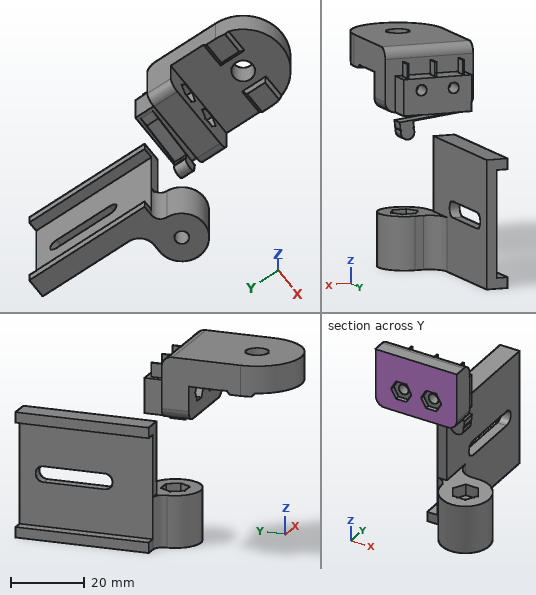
import cadquery as cq
import math


total_length = 82.0
total_height = 60.0
total_width = 29.6

bracket_width = 26.0
bracket_end_radius = bracket_width / 2
slab_thickness = 7.9
slab_bottom_z = total_height - slab_thickness
leg_thickness = 7.95
leg_height = 18.0
leg_bottom_z = total_height - leg_height
leg_back_y = 23.05
leg_front_y = leg_back_y - leg_thickness
bracket_edge_radius = 3.0
bracket_hole_diameter = 6.5

ridge_height = 1.0
ridge_top_half_width = 4.0
ridge_gap_half_width = 5.0

screw_spacing = 9.5
screw_rise = 6.9
screw_z = leg_bottom_z + screw_rise
screw_hole_diameter = 3.0
screw_nut_flats = 5.5
screw_nut_depth = 2.5

switch_width = 20.0
switch_depth = 6.15
switch_height = 10.2
switch_center_y = leg_back_y + switch_depth / 2
terminal_count = 3
terminal_spacing = 8.2
terminal_thickness = 0.5
terminal_depth = 3.4
terminal_height = 4.0
blade_width = 4.0

lever_angle = 6.2
lever_start_x = -9.0
lever_length = 19.85
lever_thickness = 0.3
roller_diameter = 4.0
roller_holder_length = 4.0
roller_holder_drop = 2.0
roller_overhang = 0.9
roller_axis_drop = roller_holder_drop + roller_overhang

boss_diameter = 15.0
boss_radius = boss_diameter / 2
boss_height = 15.1
boss_x = total_width - bracket_width / 2 - boss_radius
boss_y = 27.4
boss_rear_neck_radius = 5.0
boss_hole_diameter = 4.0
boss_nut_flats = 7.0
boss_nut_depth = 3.5

plate_front_y = 30.0
plate_length = total_length - bracket_end_radius - plate_front_y
plate_height = 36.1
plate_back_x = boss_x - boss_radius
plate_depth = 6.2
web_thickness = 3.0
web_front_x = plate_back_x - web_thickness
lip_thickness = 3.0
slot_length = 22.5
slot_height = 4.5
slot_front_margin = 11.8


def across_corners(flats):
    """Corner-to-corner size of a hexagon from its size across the flats."""
    return flats / math.cos(math.radians(30))


def box(x_range, y_range, z_range):
    """Box from its lower and upper limits along each axis."""
    size = [high - low for low, high in (x_range, y_range, z_range)]
    start = (x_range[0], y_range[0], z_range[0])
    return cq.Workplane("XY").box(*size, centered=False).translate(start)


def screw_workplane(y):
    """Workplane facing -Y with both screw axes as its points."""
    half = screw_spacing / 2
    return cq.Workplane("XZ", origin=(0, y, screw_z)).pushPoints([(-half, 0), (half, 0)])


def make_ridges(slab_outline):
    """Ridges along X, bevelled on every side but the ends that follow the slab outline."""
    profile = [
        (-ridge_top_half_width, 0),
        (ridge_top_half_width, 0),
        (ridge_top_half_width - ridge_height, -ridge_height),
        (-ridge_top_half_width + ridge_height, -ridge_height),
    ]
    bar = (
        cq.Workplane("YZ", origin=(-bracket_width / 2, 0, slab_bottom_z))
        .polyline(profile).close().extrude(bracket_width)
    )
    gap_profile = [
        (-ridge_gap_half_width, 0),
        (ridge_gap_half_width, 0),
        (ridge_gap_half_width + ridge_height, -ridge_height),
        (-ridge_gap_half_width - ridge_height, -ridge_height),
    ]
    gap = (
        cq.Workplane("XZ", origin=(0, 0, slab_bottom_z))
        .polyline(gap_profile).close().extrude(ridge_top_half_width, both=True)
    )
    return bar.cut(gap).intersect(slab_outline.translate((0, 0, -ridge_height)))


def make_bracket():
    half = bracket_width / 2
    slab = (
        cq.Workplane("XY", origin=(0, 0, slab_bottom_z))
        .moveTo(-half, leg_back_y)
        .lineTo(-half, 0)
        .threePointArc((0, -bracket_end_radius), (half, 0))
        .lineTo(half, leg_back_y)
        .close()
        .extrude(slab_thickness)
    )
    leg = box((-half, half), (leg_front_y, leg_back_y), (leg_bottom_z, total_height))
    leg = leg.edges("|Y and <Z").fillet(bracket_edge_radius)
    body = slab.union(leg).edges("|X and >Y and >Z").fillet(bracket_edge_radius)
    body = body.union(make_ridges(slab))

    bolt_hole = cq.Workplane("XY").circle(bracket_hole_diameter / 2).extrude(total_height)
    screw_holes = screw_workplane(leg_back_y).circle(screw_hole_diameter / 2).extrude(leg_thickness)
    nut_pockets = (
        screw_workplane(leg_front_y + screw_nut_depth)
        .polygon(6, across_corners(screw_nut_flats)).extrude(screw_nut_depth)
    )
    return body.cut(bolt_hole).cut(screw_holes).cut(nut_pockets)


def make_lever():
    """Blade, roller holder and roller in one, drawn level and then tilted about the blade root."""
    root = cq.Workplane("XZ", origin=(lever_start_x, switch_center_y, leg_bottom_z))
    half_width = blade_width / 2
    holder_start = lever_length - roller_holder_length
    blade = root.rect(lever_length, lever_thickness, centered=False).extrude(half_width, both=True)
    holder = (
        root.moveTo(holder_start, -roller_holder_drop)
        .rect(roller_holder_length, roller_holder_drop, centered=False)
        .extrude(half_width, both=True)
    )
    roller = (
        root.center(holder_start + roller_holder_length / 2, -roller_axis_drop)
        .circle(roller_diameter / 2).extrude(half_width, both=True)
    )
    pivot = (lever_start_x, switch_center_y, leg_bottom_z)
    pivot_end = (lever_start_x, switch_center_y + 0.8, leg_bottom_z)
    return blade.union(holder).union(roller).rotate(pivot, pivot_end, lever_angle)


def make_switch():
    half = switch_width / 2
    back_y = leg_back_y + switch_depth
    top_z = leg_bottom_z + switch_height
    body = box((-half, half), (leg_back_y, back_y), (leg_bottom_z, top_z))
    screw_holes = screw_workplane(back_y).circle(screw_hole_diameter / 2).extrude(switch_depth)
    terminals = (
        cq.Workplane("XY", origin=(0, switch_center_y, top_z))
        .rarray(terminal_spacing, 0.8, terminal_count, 1)
        .rect(terminal_thickness, terminal_depth)
        .extrude(terminal_height)
    )
    return body.cut(screw_holes).union(terminals).union(make_lever())


def make_boss():
    """Clamp boss, blended into the plate by a concave neck at the front and at the rear."""
    diagonal = math.sqrt(0.5)

    web_to_axis = boss_x - web_front_x
    axis_to_front = plate_front_y - boss_y
    front_neck_radius = (
        (web_to_axis**2 + axis_to_front**2 - boss_radius**2) / (2 * (boss_radius + axis_to_front))
    )
    front_neck_y = plate_front_y - front_neck_radius
    boss_share = boss_radius / (boss_radius + front_neck_radius)
    front_tangent_point = (
        boss_x - boss_share * web_to_axis,
        boss_y + boss_share * (front_neck_y - boss_y),
    )
    front_neck_middle = (
        web_front_x + front_neck_radius * diagonal,
        front_neck_y + front_neck_radius * diagonal,
    )

    boss_rear_y = boss_y + boss_radius
    rear_neck_x = plate_back_x + boss_rear_neck_radius
    rear_neck_y = boss_rear_y + boss_rear_neck_radius
    rear_neck_middle = (
        rear_neck_x - boss_rear_neck_radius * diagonal,
        rear_neck_y - boss_rear_neck_radius * diagonal,
    )
    return (
        cq.Workplane("XY")
        .moveTo(web_front_x, plate_front_y)
        .threePointArc(front_neck_middle, front_tangent_point)
        .threePointArc((boss_x + boss_radius, boss_y), (boss_x, boss_rear_y))
        .lineTo(rear_neck_x, boss_rear_y)
        .threePointArc(rear_neck_middle, (plate_back_x, rear_neck_y))
        .lineTo(web_front_x, rear_neck_y)
        .close()
        .extrude(boss_height)
    )


def make_plate():
    plate_front_x = plate_back_x - plate_depth
    y_range = (plate_front_y, plate_front_y + plate_length)
    rail = box((plate_front_x, plate_back_x), y_range, (0, plate_height))
    channel = box((plate_front_x, web_front_x), y_range, (lip_thickness, plate_height - lip_thickness))
    slot_center_y = plate_front_y + slot_front_margin + slot_length / 2
    slot = (
        cq.Workplane("YZ", origin=(web_front_x, slot_center_y, plate_height / 2))
        .slot2D(slot_length, slot_height).extrude(web_thickness)
    )
    boss_axis = cq.Workplane("XY", origin=(boss_x, boss_y, 0))
    boss_hole = boss_axis.circle(boss_hole_diameter / 2).extrude(boss_height)
    boss_nut_pocket = (
        boss_axis.workplane(offset=boss_height - boss_nut_depth)
        .polygon(6, across_corners(boss_nut_flats)).extrude(boss_nut_depth)
    )
    return rail.cut(channel).cut(slot).union(make_boss()).cut(boss_hole).cut(boss_nut_pocket)


bracket = make_bracket()
switch = make_switch()
plate = make_plate()

result = cq.Compound.makeCompound([body.solids().val() for body in (bracket, switch, plate)])